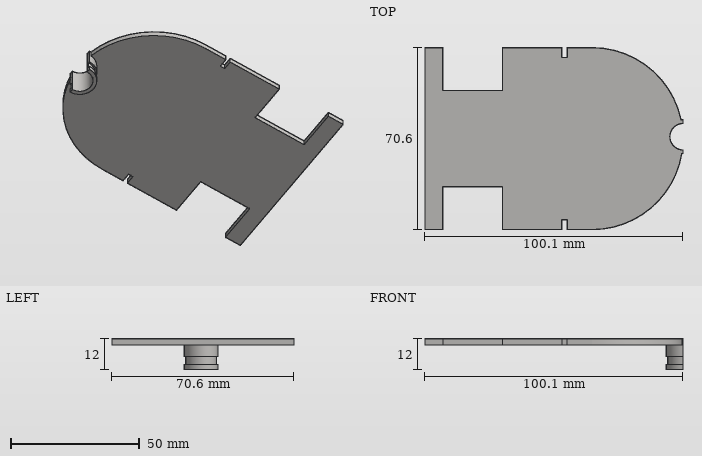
import cadquery as cq

plate_length = 100.1
plate_width = 70.64
plate_thickness = 2.5
nose_radius = plate_width / 2
nose_center_x = plate_length - nose_radius

crossbar_length = 7.0
notch_end_x = 30.0
neck_width = 37.4

slot_start_x = 53.1
slot_width = 2.0
slot_depth = 3.8

hub_center_y = 0.75
hub_radius = 6.6
hub_bore_radius = 5.1
hub_height = 12.0
groove_radius = 6.0
groove_width = 3.0
lip_height = 2.0


def half_disc(radius, height):
    """Half cylinder on the -X side of the hub axis, standing on Z = 0."""
    return (
        cq.Workplane("XY")
        .center(plate_length, hub_center_y)
        .moveTo(0, -radius)
        .threePointArc((-radius, 0), (0, radius))
        .close()
        .extrude(height)
    )


def make_plate():
    """Flat plate with a straight -X end and a semicircular +X nose."""
    half_width = plate_width / 2
    return (
        cq.Workplane("XY")
        .moveTo(0, -half_width)
        .lineTo(nose_center_x, -half_width)
        .threePointArc((plate_length, 0), (nose_center_x, half_width))
        .lineTo(0, half_width)
        .close()
        .extrude(plate_thickness)
    )


def edge_cutter(start_x, length, depth, side):
    """Block reaching inward by depth from the long edge on the given side (+1 or -1)."""
    center_y = side * (plate_width - depth) / 2
    return (
        cq.Workplane("XY")
        .center(start_x + length / 2, center_y)
        .rect(length, depth)
        .extrude(plate_thickness)
    )


def make_hub():
    """Solid half-round hub, flush with the plate top, with a groove above its bottom lip."""
    bottom_z = plate_thickness - hub_height
    groove_ring = half_disc(hub_radius, groove_width).cut(half_disc(groove_radius, groove_width))
    hub = half_disc(hub_radius, hub_height)
    return hub.cut(groove_ring.translate((0, 0, lip_height))).translate((0, 0, bottom_z))


notch_depth = (plate_width - neck_width) / 2
plate = make_plate()
for side in (1, -1):
    plate = plate.cut(edge_cutter(crossbar_length, notch_end_x - crossbar_length, notch_depth, side))
    plate = plate.cut(edge_cutter(slot_start_x, slot_width, slot_depth, side))

bore = half_disc(hub_bore_radius, hub_height).translate((0, 0, plate_thickness - hub_height))
result = plate.union(make_hub()).cut(bore)